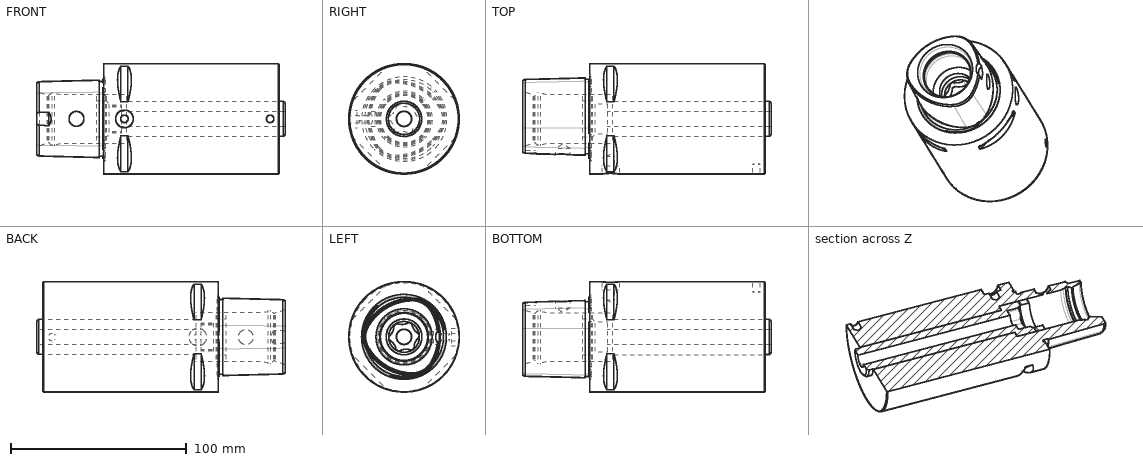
import cadquery as cq
import math


total_length = 141.6
flange_x = 38.1
body_end_x = 138.0

body_radius = 31.5
body_end_chamfer = 0.5

shank_width = 44.2
lobe_centre_distance = 9.9
shank_taper = 1 / 20
shank_large_x = 35.5
shank_chamfer_length = 1.4
shank_chamfer_depth = 0.7

neck_inset = 0.7
collar_radius = 22.5
face_groove_radius = 24.2
collar_length = 0.5

mouth_radius = 16.0
mouth_chamfer_x = 1.5
mouth_chamfer_radius = 15.2
lip_radius = 13.5
lip_chamfer = 0.4
lip_start_x = 5.8
lip_end_x = 7.2
groove_radius = 15.2
groove_start_x = 8.5
groove_end_x = 9.9
seat_radius = 14.5
seat_end_x = 11.6
bore_radius = 13.9
bore_start_x = 13.5

ring_start_x = 34.0
ring_length = 5.7
ring_hole_radius = 10.2
head_length = 11.3
bolt_radius = 10.0
bolt_end_chamfer = 1.1
coolant_hole_radius = 4.2
socket_entry_depth = 1.4
socket_entry_radius = 8.8
socket_depth = 8.5
socket_tip_radius = 8.6
socket_waist_radius = 7.1
socket_shoulder_radius = 8.2
socket_tip_half_angle = 9.0
socket_lobes = 6
socket_turn = -5.0

grip_x = 50.0
grip_floor_distance = 28.0
grip_floor_width = 4.0
grip_mouth_width = 8.0
grip_angles = (45, 135, 225, 315)

drill_point_angle = 118.0
key_radius = 5.0
key_length = 7.0
key_axis_distance = 23.0
shank_hole_x = 22.7
shank_hole_radius = 4.2
shank_hole_floor_distance = 16.7
chip_radius = 5.03
chip_depth = 4.7
small_hole_radius = 2.1
small_hole_depth = 5.7
rear_hole_x = 133.0

ring_end_x = ring_start_x + ring_length
head_end_x = ring_end_x + head_length


def revolve_about_x(points):
    """Solid of revolution about X from (x, radius) points."""
    return cq.Workplane("XY").polyline(points).close().revolve(360, (0, 0, 0), (1, 0, 0))


def cylinder_x(start_x, end_x, radius):
    return cq.Workplane("YZ", origin=(start_x, 0, 0)).circle(radius).extrude(end_x - start_x)


def drill(tip_start, direction, radius, length):
    """Drill-shaped cutter: a cylinder from tip_start along direction, ending in a drill point."""
    point_length = radius / math.tan(math.radians(drill_point_angle / 2))
    shaft = cq.Solid.makeCylinder(radius, length, tip_start, direction)
    point = cq.Solid.makeCone(radius, 0, point_length, tip_start + direction * length, direction)
    return cq.Workplane(shaft.fuse(point))


def polar(radius, degrees):
    angle = math.radians(degrees)
    return (radius * math.cos(angle), radius * math.sin(angle))


def lobed_wire(x, width):
    """Closed outline of constant width: three lobe arcs joined by three flatter arcs.

    One lobe points to +Y. Each flat arc is centred on the opposite lobe's centre.
    """
    lobe_spacing = lobe_centre_distance * math.sqrt(3)
    lobe_radius = (width - lobe_spacing) / 2
    flat_radius = (width + lobe_spacing) / 2
    lobe_reach = lobe_centre_distance + lobe_radius
    flat_reach = flat_radius - lobe_centre_distance

    def joint(lobe_angle, side):
        centre_y, centre_z = polar(lobe_centre_distance, lobe_angle)
        offset_y, offset_z = polar(lobe_radius, lobe_angle + side * 30)
        return (centre_y + offset_y, centre_z + offset_z)

    outline = cq.Workplane("YZ", origin=(x, 0, 0)).moveTo(*joint(0, -1))
    for lobe_angle in (0, 120, 240):
        outline = outline.threePointArc(polar(lobe_reach, lobe_angle), joint(lobe_angle, 1))
        outline = outline.threePointArc(polar(flat_reach, lobe_angle + 60), joint(lobe_angle + 120, -1))
    return outline.close().val()


def lobed_solid(start_x, start_width, end_x, end_width):
    wires = [lobed_wire(start_x, start_width), lobed_wire(end_x, end_width)]
    return cq.Workplane(cq.Solid.makeLoft(wires, True))


def make_shank():
    def width_at(x):
        return shank_width - shank_taper * (shank_large_x - x)

    chamfer_x = shank_chamfer_length
    mouth_width = width_at(chamfer_x) - 2 * shank_chamfer_depth
    tip = lobed_solid(0, mouth_width, chamfer_x, width_at(chamfer_x))
    cone = lobed_solid(chamfer_x, width_at(chamfer_x), shank_large_x, shank_width)
    neck_width = shank_width - 2 * neck_inset
    neck = lobed_solid(shank_large_x, neck_width, flange_x, neck_width)
    return tip.union(cone).union(neck)


def make_face_groove():
    """Half-round groove cut into the shoulder face around the collar."""
    section_radius = (face_groove_radius - collar_radius) / 2
    middle_radius = collar_radius + section_radius
    section = cq.Workplane("XY").center(flange_x, middle_radius).circle(section_radius)
    ring = section.revolve(360, (0, -middle_radius, 0), (1, -middle_radius, 0))
    return ring.intersect(cylinder_x(flange_x, body_end_x, body_radius))


def make_bore():
    return revolve_about_x([
        (0, 0),
        (0, mouth_radius),
        (mouth_chamfer_x, mouth_chamfer_radius),
        (lip_start_x, lip_radius + lip_chamfer),
        (lip_start_x + lip_chamfer, lip_radius),
        (lip_end_x - lip_chamfer, lip_radius),
        (lip_end_x, lip_radius + lip_chamfer),
        (groove_start_x, groove_radius),
        (groove_end_x, groove_radius),
        (groove_end_x, seat_radius),
        (seat_end_x, seat_radius),
        (bore_start_x, bore_radius),
        (head_end_x, bore_radius),
        (head_end_x, bolt_radius),
        (body_end_x, bolt_radius),
        (body_end_x, 0),
    ])


def make_grip_groove(angle):
    """Straight groove with a flat floor and sloping sides, cut across the body."""
    depth = body_radius - grip_floor_distance
    half_floor = grip_floor_width / 2
    half_mouth = grip_mouth_width / 2
    profile = [
        (grip_x - half_floor, grip_floor_distance),
        (grip_x + half_floor, grip_floor_distance),
        (grip_x + half_mouth, grip_floor_distance + depth),
        (grip_x - half_mouth, grip_floor_distance + depth),
    ]
    groove = cq.Workplane("XY").polyline(profile).close().extrude(body_radius, both=True)
    return groove.rotate((0, 0, 0), (1, 0, 0), angle)


def make_side_drillings():
    along_x = cq.Vector(1, 0, 0)
    inward = cq.Vector(0, 1, 0)
    chip_floor = body_radius - chip_depth
    key = drill(cq.Vector(0, -key_axis_distance, 0), along_x, key_radius, key_length)
    shank_hole = drill(
        cq.Vector(shank_hole_x, -body_radius, 0), inward,
        shank_hole_radius, body_radius - shank_hole_floor_distance,
    )
    chip_pocket = cq.Workplane(
        cq.Solid.makeCylinder(chip_radius, chip_depth, cq.Vector(grip_x, -body_radius, 0), inward)
    )
    chip_hole = drill(cq.Vector(grip_x, -chip_floor, 0), inward, small_hole_radius, small_hole_depth)
    rear_hole = drill(
        cq.Vector(rear_hole_x, -body_radius, 0), inward, small_hole_radius, small_hole_depth
    )
    return [key, shank_hole, chip_pocket, chip_hole, rear_hole]


def make_housing():
    body = cylinder_x(flange_x, body_end_x, body_radius).faces(">X").chamfer(body_end_chamfer)
    collar = cylinder_x(flange_x - collar_length, flange_x, collar_radius)
    housing = body.cut(make_face_groove()).union(collar).union(make_shank()).cut(make_bore())
    for angle in grip_angles:
        housing = housing.cut(make_grip_groove(angle))
    for cutter in make_side_drillings():
        housing = housing.cut(cutter)
    return housing


def make_ring():
    ring = cylinder_x(ring_start_x, ring_end_x, bore_radius)
    return ring.cut(cylinder_x(ring_start_x, ring_end_x, ring_hole_radius))


def make_socket():
    """Six-lobed driver socket: rounded tips joined by inward-bowed sides."""
    pitch = 360 / socket_lobes
    tip = socket_tip_half_angle
    outline = cq.Workplane("YZ", origin=(ring_end_x, 0, 0))
    outline = outline.moveTo(*polar(socket_shoulder_radius, socket_turn - tip))
    for lobe in range(socket_lobes):
        middle = socket_turn + lobe * pitch
        outline = outline.threePointArc(
            polar(socket_tip_radius, middle), polar(socket_shoulder_radius, middle + tip)
        )
        outline = outline.threePointArc(
            polar(socket_waist_radius, middle + pitch / 2),
            polar(socket_shoulder_radius, middle + pitch - tip),
        )
    return outline.close().extrude(socket_depth)


def make_bolt():
    shaft = cylinder_x(head_end_x, total_length, bolt_radius).faces(">X").chamfer(bolt_end_chamfer)
    head = cylinder_x(ring_end_x, head_end_x, bore_radius)
    socket_entry = revolve_about_x([
        (ring_end_x, 0),
        (ring_end_x, ring_hole_radius),
        (ring_end_x + socket_entry_depth, socket_entry_radius),
        (ring_end_x + socket_entry_depth, 0),
    ])
    coolant_hole = cylinder_x(ring_end_x, total_length, coolant_hole_radius)
    return head.union(shaft).cut(socket_entry).cut(make_socket()).cut(coolant_hole)


housing = make_housing().solids()
ring = make_ring().solids()
bolt = make_bolt().solids()

result = cq.Compound.makeCompound([housing.val(), ring.val(), bolt.val()])